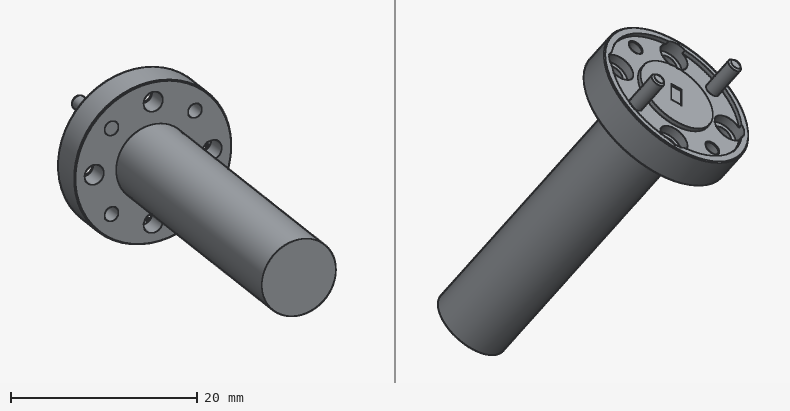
import cadquery as cq
import math

total_length = 41.95
pin_protrusion = 3.85
flange_thickness = 4.05
flange_diameter = 19.05
flange_chamfer = 0.13
barrel_diameter = 9.0

boss_diameter = 9.53
rim_inner_diameter = 17.25
ring_recess_depth = 0.5
waveguide_width = 1.4
waveguide_height = 2.73
waveguide_depth = 0.2

screw_count = 4
screw_circle_radius = 7.15
screw_hole_diameter = 2.3
counterbore_diameter = 3.55
counterbore_depth = 1.6

alignment_circle_radius = 7.15
pin_diameter = 1.68
pin_chamfer = 0.2
alignment_hole_diameter = pin_diameter
alignment_hole_chamfer = 0.1
pin_angles = (135, 315)
alignment_hole_angles = (45, 225)

face_x = pin_protrusion
flange_back_x = face_x + flange_thickness


def cylinder(diameter, start_x, end_x, y=0, z=0):
    """Solid cylinder parallel to X."""
    length = end_x - start_x
    return cq.Workplane("YZ", origin=(start_x, y, z)).circle(diameter / 2).extrude(length)


def polar_place(radius, angle):
    """Y and Z of a place on a circle around the main axis."""
    radians = math.radians(angle)
    return radius * math.cos(radians), radius * math.sin(radians)


def ring_recess():
    floor_x = face_x + ring_recess_depth
    outer = cylinder(rim_inner_diameter, face_x, floor_x)
    return outer.cut(cylinder(boss_diameter, face_x, floor_x))


def waveguide_recess():
    return cq.Workplane("YZ", origin=(face_x, 0, 0)).rect(waveguide_width, waveguide_height).extrude(
        waveguide_depth
    )


def screw_hole(angle):
    place = polar_place(screw_circle_radius, angle)
    counterbore = cylinder(counterbore_diameter, face_x, face_x + counterbore_depth, *place)
    return cylinder(screw_hole_diameter, face_x, flange_back_x, *place).union(counterbore)


def pin_hole(angle):
    place = polar_place(alignment_circle_radius, angle)
    return cylinder(pin_diameter, face_x, flange_back_x, *place)


def alignment_hole(angle):
    """Through hole that widens in a chamfer at the recess floor."""
    place = polar_place(alignment_circle_radius, angle)
    floor_x = face_x + ring_recess_depth
    mouth_diameter = alignment_hole_diameter + 2 * alignment_hole_chamfer
    countersink = (
        cq.Workplane("YZ", origin=(floor_x, *place))
        .circle(mouth_diameter / 2)
        .workplane(offset=alignment_hole_chamfer)
        .circle(alignment_hole_diameter / 2)
        .loft()
    )
    return cylinder(alignment_hole_diameter, face_x, flange_back_x, *place).union(countersink)


def make_housing():
    flange = cylinder(flange_diameter, face_x, flange_back_x).edges().chamfer(flange_chamfer)
    housing = flange.union(cylinder(barrel_diameter, flange_back_x, total_length))
    housing = housing.cut(ring_recess()).cut(waveguide_recess())
    for index in range(screw_count):
        housing = housing.cut(screw_hole(index * 360 / screw_count))
    for angle in alignment_hole_angles:
        housing = housing.cut(alignment_hole(angle))
    for angle in pin_angles:
        housing = housing.cut(pin_hole(angle))
    return housing


def make_pin(angle):
    """Pin with a chamfered tip, seated through the full flange thickness."""
    place = polar_place(alignment_circle_radius, angle)
    return cylinder(pin_diameter, 0, flange_back_x, *place).faces("<X").chamfer(pin_chamfer)


housing = make_housing()
pins = [make_pin(angle) for angle in pin_angles]
result = cq.Compound.makeCompound([housing.val(), *[pin.val() for pin in pins]])